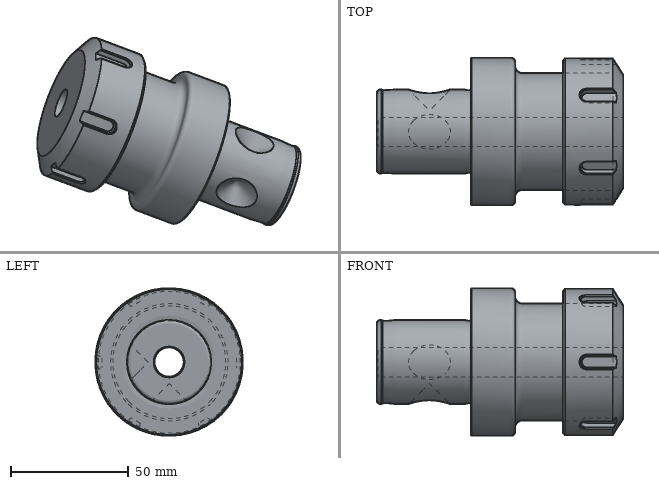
import cadquery as cq
import math


shank_radius = 18.0
lip_length = 1.9
lip_round = 1.7
relief_depth = 0.3
relief_start = 2.6
relief_end = 8.0

undercut_length = 2.5
undercut_slope_length = 1.2
undercut_round = 0.7
undercut_face_depth = 0.2
undercut_face_radius = 19.7

flange_start = 40.0
flange_end = 59.0
flange_radius = 31.5
flange_chamfer = 0.5
flange_round = 2.0

neck_radius = 25.0
neck_fillet = 2.8
bore_radius = 6.2
bore_chamfer = 0.4

seat_x = 22.4
seat_radius = 8.9
seat_angle = 90.0
seat_overshoot = 1.0

nut_start = 79.3
nut_end = 105.0
nut_radius = 31.3
nut_back_chamfer = 1.0
nut_cone_length = 4.5
nut_face_radius = 24.0

slot_count = 6
slot_end_center_x = 89.7
slot_floor_height = 28.7
slot_floor_half_width = 2.3
slot_edge_half_width = 2.8
slot_mouth_half_width = 3.3
slot_edge_height = 30.6

nut_cone_start = nut_end - nut_cone_length
relief_radius = shank_radius - relief_depth
HALF_SQRT = math.sqrt(0.5)


def revolve_about_x(profile):
    """Turn a closed profile, drawn as (x, radius), into a solid about X."""
    return profile.close().revolve(360, (0, 0, 0), (1, 0, 0))


def arc_middle(center_x, center_r, radius, sign_x, sign_r):
    """Midpoint of a quarter arc lying in the given quadrant of its centre."""
    return (center_x + sign_x * radius * HALF_SQRT, center_r + sign_r * radius * HALF_SQRT)


def turned_body():
    undercut_start = flange_start - undercut_length
    undercut_wall = flange_start + undercut_face_depth
    undercut_arc_x = undercut_wall - undercut_round
    undercut_arc_r = relief_radius + undercut_round
    flange_arc_x = flange_end - flange_round
    flange_arc_r = flange_radius - flange_round
    neck_arc_x = flange_end + neck_fillet
    neck_arc_r = neck_radius + neck_fillet
    profile = (
        cq.Workplane("XY")
        .moveTo(0, bore_radius + bore_chamfer)
        .lineTo(0, shank_radius - lip_round)
        .threePointArc(
            arc_middle(lip_round, shank_radius - lip_round, lip_round, -1, 1),
            (lip_round, shank_radius),
        )
        .lineTo(lip_length, shank_radius)
        .lineTo(relief_start, relief_radius)
        .lineTo(relief_end, shank_radius)
        .lineTo(undercut_start, shank_radius)
        .lineTo(undercut_start + undercut_slope_length, relief_radius)
        .lineTo(undercut_arc_x, relief_radius)
        .threePointArc(
            arc_middle(undercut_arc_x, undercut_arc_r, undercut_round, 1, -1),
            (undercut_wall, undercut_arc_r),
        )
        .lineTo(flange_start, undercut_face_radius)
        .lineTo(flange_start, flange_radius - flange_chamfer)
        .lineTo(flange_start + flange_chamfer, flange_radius)
        .lineTo(flange_arc_x, flange_radius)
        .threePointArc(
            arc_middle(flange_arc_x, flange_arc_r, flange_round, 1, 1),
            (flange_end, flange_arc_r),
        )
        .lineTo(flange_end, neck_arc_r)
        .threePointArc(
            arc_middle(neck_arc_x, neck_arc_r, neck_fillet, -1, -1),
            (neck_arc_x, neck_radius),
        )
        .lineTo(nut_cone_start, neck_radius)
        .lineTo(nut_cone_start, bore_radius)
        .lineTo(bore_chamfer, bore_radius)
    )
    return revolve_about_x(profile)


def clamp_seat(direction):
    """Cone pointing at the axis, opening along the given outward direction."""
    slope = math.tan(math.radians(seat_angle / 2))
    mouth_radius = seat_radius + seat_overshoot * slope
    height = mouth_radius / slope
    mouth = cq.Vector(seat_x, 0, 0) + direction * (shank_radius + seat_overshoot)
    return cq.Workplane(cq.Solid.makeCone(mouth_radius, 0, height, mouth, -direction))


def make_body():
    body = turned_body()
    for direction in (cq.Vector(0, 0, -1), cq.Vector(0, 1, 0)):
        body = body.cut(clamp_seat(direction))
    return body


def turned_nut():
    """Nut blank with a socket that the neck fills up to the cone start."""
    profile = (
        cq.Workplane("XY")
        .moveTo(nut_start, neck_radius)
        .lineTo(nut_start, nut_radius - nut_back_chamfer)
        .lineTo(nut_start + nut_back_chamfer, nut_radius)
        .lineTo(nut_cone_start, nut_radius)
        .lineTo(nut_end, nut_face_radius)
        .lineTo(nut_end, bore_radius)
        .lineTo(nut_cone_start, bore_radius)
        .lineTo(nut_cone_start, neck_radius)
    )
    return revolve_about_x(profile)


def slot_outline(height, half_width):
    """Round-ended slot outline at a distance from the axis, open past the nut face."""
    return (
        cq.Workplane("XY", origin=(0, 0, height))
        .moveTo(nut_end, half_width)
        .lineTo(slot_end_center_x, half_width)
        .threePointArc(
            (slot_end_center_x - half_width, 0),
            (slot_end_center_x, -half_width),
        )
        .lineTo(nut_end, -half_width)
        .close()
    )


def flared_slot(low, low_half_width, high, high_half_width):
    """Slot layer whose walls lean outward from the low to the high outline."""
    lean = math.degrees(math.atan((high_half_width - low_half_width) / (high - low)))
    return slot_outline(low, low_half_width).extrude(high - low, taper=-lean)


def wrench_slot():
    """Cutter on the +Z side: leaning walls below, a wider edge chamfer above."""
    mouth_height = math.sqrt(nut_radius ** 2 - slot_mouth_half_width ** 2)
    flare = (slot_mouth_half_width - slot_edge_half_width) / (mouth_height - slot_edge_height)
    top_half_width = slot_edge_half_width + flare * (nut_radius - slot_edge_height)
    walls = flared_slot(
        slot_floor_height, slot_floor_half_width, slot_edge_height, slot_edge_half_width
    )
    chamfer = flared_slot(slot_edge_height, slot_edge_half_width, nut_radius, top_half_width)
    return walls.union(chamfer)


def make_nut():
    nut = turned_nut()
    first_slot_angle = 90.0
    for i in range(slot_count):
        angle = first_slot_angle + i * 360.0 / slot_count
        nut = nut.cut(wrench_slot().rotate((0, 0, 0), (1, 0, 0), angle))
    return nut


body = make_body()
nut = make_nut()
result = cq.Compound.makeCompound([body.val(), nut.val()])